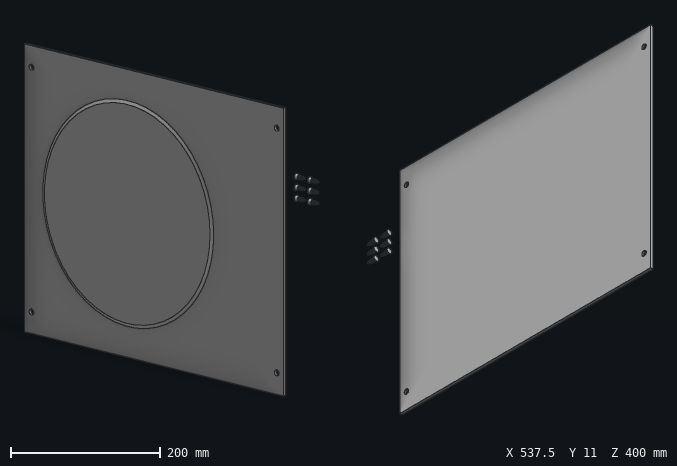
import cadquery as cq

overall_length = 537.5
overall_depth = 11.0

panel_width = 476.0
panel_height = 400.0
panel_thickness = 4.5
hole_diameter = 8.0
hole_side_inset = 13.0
hole_end_inset = 30.0

disc_base_diameter = 314.0
disc_face_diameter = 304.0
disc_thickness = 2.0
disc_centre_x = 191.0

screw_columns = 2
screw_rows = 3
column_pitch = 24.5
row_pitch = 15.0
top_row_drop = 92.0
screw_length = 17.0
head_diameter = 9.0
head_rim = 0.5
head_height = 4.0
thread_diameter = 5.5
thread_depth = 0.5
thread_pitch = 1.0
straight_turns = 7
tapered_turns = 5
tip_diameter = 2.0
screw_centre_y = overall_depth - disc_thickness - head_diameter / 2


def make_panel():
    """Sheet with a through hole near each corner."""
    sheet = cq.Workplane("XY").box(
        panel_width, panel_thickness, panel_height, centered=False
    )
    holes = (
        cq.Workplane("XZ", origin=(panel_width / 2, 0, panel_height / 2))
        .rect(
            panel_width - 2 * hole_side_inset,
            panel_height - 2 * hole_end_inset,
            forConstruction=True,
        )
        .vertices()
        .circle(hole_diameter / 2)
        .extrude(-panel_thickness)
    )
    return sheet.cut(holes)


def make_disc():
    """Flat cone frustum, wide side against the panel."""
    return (
        cq.Workplane("XZ", origin=(disc_centre_x, 0, panel_height / 2))
        .circle(disc_base_diameter / 2)
        .workplane(offset=disc_thickness)
        .circle(disc_face_diameter / 2)
        .loft(combine=True, ruled=True)
    )


def thread_outline():
    """Profile points of ring-shaped thread crests: a straight run, then a taper to the tip."""
    thread_radius = thread_diameter / 2
    radius_step = (thread_radius - tip_diameter / 2) / tapered_turns
    points = []
    for turn in range(straight_turns + tapered_turns):
        turns_into_taper = max(0, turn + 1 - straight_turns)
        crest_radius = thread_radius - turns_into_taper * radius_step
        root_x = head_height + turn * thread_pitch
        points.append((root_x, crest_radius - thread_depth))
        points.append((root_x + thread_pitch / 2, crest_radius))
    return points


def make_screw(head_x, axis_z):
    """Countersunk screw with its flat head at head_x and its point toward +X."""
    head_radius = head_diameter / 2
    half_profile = [
        (0, 0),
        (0, head_radius),
        (head_rim, head_radius),
        *thread_outline(),
        (screw_length, 0),
    ]
    return (
        cq.Workplane("XY")
        .polyline(half_profile)
        .close()
        .revolve(360, (0, 0, 0), (1, 0, 0))
        .translate((head_x, screw_centre_y, axis_z))
    )


panel = make_panel()
disc = make_disc()

last_head_x = overall_length - screw_length
top_row_z = panel_height - top_row_drop
screws = []
for column in range(screw_columns):
    for row in range(screw_rows):
        screw = make_screw(last_head_x - column * column_pitch, top_row_z - row * row_pitch)
        screws.append(screw.val())

result = cq.Compound.makeCompound([panel.val(), disc.val(), *screws])